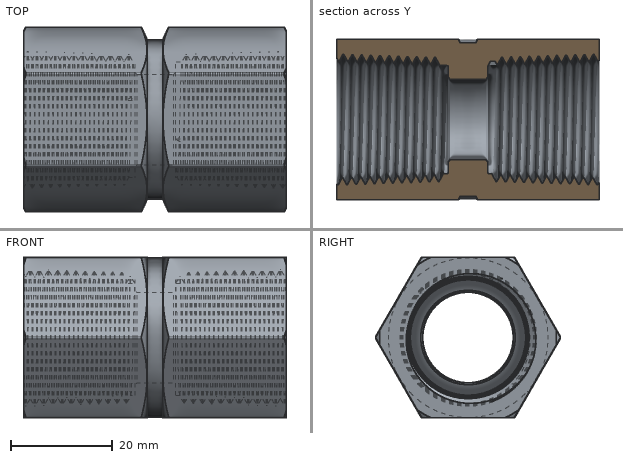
import math

import cadquery as cq

LENGTH = 52.0
ACROSS_FLATS = 31.8
EDGE_ROUND = 0.5
ENVELOPE_CLEARANCE = 1.0
HALF = LENGTH / 2
ACROSS_CORNERS = ACROSS_FLATS / math.cos(math.radians(30))

WAIST_DIAMETER = 31.6
WAIST_WIDTH = 3.1
SHOULDER_ANGLE = 25.0

BEVEL_FACE_DIAMETER = 35.0
BEVEL_ANGLE = 30.0

BORE_DIAMETER = 17.9
COUNTERSINK = 0.4

INCH = 25.4
THREADS_PER_INCH = 14
PITCH = INCH / THREADS_PER_INCH
THREAD_DEPTH = 22.0
MOUTH_CREST_RADIUS = 12.1
TOOTH_HEIGHT = 1.45
CREST_FLAT = 0.06
FLANK_ANGLE = 30.0
TAPER = 1 / 32
MOUTH_ROOT_ANGLE = 205.0
MOUTH_OVERRUN = PITCH
GROOVE_OVERLAP = 0.15


def revolve_about_axis(points):
    """Revolve an outline given as (x, radius) points about the X axis."""
    outline = cq.Workplane("XY").polyline(points).close()
    return outline.revolve(360, (0, 0, 0), (1, 0, 0))


def hexagonal_bar():
    hexagon = cq.Workplane("YZ").polygon(6, ACROSS_CORNERS).extrude(HALF, both=True)
    return hexagon.edges("|X").fillet(EDGE_ROUND)


def turned_envelope():
    """Round profile that cuts the waist, its shoulders and the end bevels."""
    outer = ACROSS_CORNERS / 2 + ENVELOPE_CLEARANCE
    waist = WAIST_DIAMETER / 2
    bevel = BEVEL_FACE_DIAMETER / 2
    waist_end = WAIST_WIDTH / 2
    shoulder_end = waist_end + (outer - waist) * math.tan(math.radians(SHOULDER_ANGLE))
    bevel_start = HALF - (outer - bevel) * math.tan(math.radians(BEVEL_ANGLE))
    right_side = [
        (waist_end, waist),
        (shoulder_end, outer),
        (bevel_start, outer),
        (HALF, bevel),
    ]
    left_side = [(-x, radius) for x, radius in reversed(right_side)]
    return revolve_about_axis([(-HALF, 0)] + left_side + right_side + [(HALF, 0)])


def bore():
    radius = BORE_DIAMETER / 2
    floor = HALF - THREAD_DEPTH
    half_outline = [(floor - COUNTERSINK, radius), (floor, radius + COUNTERSINK)]
    mirrored = [(-x, r) for x, r in reversed(half_outline)]
    return revolve_about_axis([(-floor, 0)] + mirrored + half_outline + [(floor, 0)])


def crest_radius(depth):
    return MOUTH_CREST_RADIUS - depth * TAPER


def crest_cone():
    """Tapered hole through the thread crests at the -X end."""
    floor = THREAD_DEPTH - HALF
    return revolve_about_axis([
        (-HALF, 0),
        (-HALF, crest_radius(0)),
        (floor, crest_radius(THREAD_DEPTH)),
        (floor, 0),
    ])


def thread_groove():
    """Helical groove at the -X end, swept from the floor out through the mouth."""
    start_depth = THREAD_DEPTH - PITCH / 2
    height = start_depth + MOUTH_OVERRUN
    start_radius = crest_radius(start_depth)
    path = cq.Wire.makeHelix(PITCH, height, start_radius, angle=math.degrees(math.atan(TAPER)))

    half_mouth = (PITCH - CREST_FLAT) / 2
    half_root = half_mouth - TOOTH_HEIGHT * math.tan(math.radians(FLANK_ANGLE))
    inner = start_radius - GROOVE_OVERLAP
    outer = start_radius + TOOTH_HEIGHT
    profile = cq.Workplane("XZ").polyline([
        (inner, -half_mouth),
        (start_radius, -half_mouth),
        (outer, -half_root),
        (outer, half_root),
        (start_radius, half_mouth),
        (inner, half_mouth),
    ]).close()
    groove = profile.sweep(cq.Workplane(obj=path), isFrenet=True)

    groove = groove.rotate((0, 0, 0), (0, 1, 0), -90).translate((start_depth - HALF, 0, 0))
    turn_to_mouth = 360 * start_depth / PITCH
    angle_at_mouth = 90 - turn_to_mouth
    return groove.rotate((0, 0, 0), (1, 0, 0), MOUTH_ROOT_ANGLE - angle_at_mouth)


def threaded_socket(blank):
    return blank.cut(crest_cone()).cut(thread_groove())


def half_turn(shape):
    return shape.rotate((0, 0, 0), (0, 0, 1), 180)


body = hexagonal_bar().intersect(turned_envelope()).cut(bore())
for _ in range(2):
    body = half_turn(threaded_socket(body))

result = body